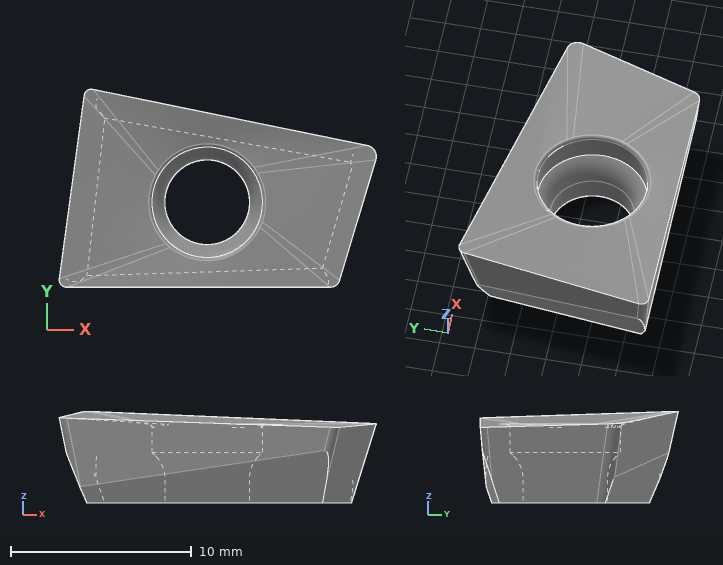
import cadquery as cq
import math


FRONT_Y = -4.71
FRONT_LEFT = (-8.26, FRONT_Y)
FRONT_RIGHT = (7.22, FRONT_Y)
BACK_RIGHT = (9.54, 3.01)
BACK_LEFT = (-6.76, 6.345)
LEFT_NOSE_RADIUS = 0.43
FRONT_RIGHT_NOSE_RADIUS = 0.55
BACK_RIGHT_NOSE_RADIUS = 0.65

EDGE_HEIGHT = 4.62
EDGE_SLOPE_X = -0.0347
EDGE_SLOPE_Y = 0.038

FRONT_CLEARANCE = 5.0
RIGHT_CLEARANCE = 14.7
BACK_CLEARANCE = 11.0
LEFT_CLEARANCE = 10.5

FRONT_RELIEF = ((-6.66, -4.07, 0), (6.37, -3.65, 0), (6.54, -4.60, 2.93))
BACK_RELIEF = ((8.06, 2.19, 0), (-5.60, 4.65, 0), (-6.00, 5.77, 2.88))
LEFT_RELIEF = ((-6.66, -4.07, 0), (-7.88, -4.12, 3.02), (-6.30, 5.13, 1.71))

BORE_RADIUS = 2.34
HEAD_RADIUS = 3.06
RIM_RADIUS = 3.24
RIM_HEIGHT = 4.37
SEAT_TOP = 2.80
SEAT_BOTTOM = 1.35

FRONT_LEFT_CREASES = (225.0, 230.6)
FRONT_RIGHT_CREASES = (334.8, 340.3)
BACK_RIGHT_CREASES = (390.0, 396.6)
BACK_LEFT_CREASES = (506.9, 512.3)
FULL_TURN = 360.0

BLANK_HEIGHT = 7.0
CUT_SIZE = 60.0


def edge_point(corner):
    """Lift a plan corner onto the tilted plane of the cutting edges."""
    x, y = corner
    return cq.Vector(x, y, EDGE_HEIGHT + EDGE_SLOPE_X * x + EDGE_SLOPE_Y * y)


def half_space(point, outward):
    """A large block whose flat face passes through point, lying on the outward side."""
    plane = cq.Plane(origin=point, normal=outward)
    return cq.Workplane(plane).rect(CUT_SIZE, CUT_SIZE).extrude(CUT_SIZE)


def flank_cut(start, end, clearance):
    """Material outside the upper flank below one cutting edge (corners counterclockwise)."""
    first = edge_point(start)
    along = edge_point(end) - first
    inward = cq.Vector(-along.y, along.x, 0).normalized()
    down_flank = inward * math.tan(math.radians(clearance)) - cq.Vector(0, 0, 1)
    return half_space(first, down_flank.cross(along))


def relief_cut(points):
    """Material outside the lower flank through three points."""
    first, second, third = [cq.Vector(*point) for point in points]
    normal = (second - first).cross(third - first)
    if normal.dot(first) < 0:
        normal = normal * -1
    return half_space(first, normal)


def round_noses(body):
    """Round the four upright corners, each with its own radius."""
    noses = (
        (FRONT_LEFT, LEFT_NOSE_RADIUS),
        (FRONT_RIGHT, FRONT_RIGHT_NOSE_RADIUS),
        (BACK_RIGHT, BACK_RIGHT_NOSE_RADIUS),
        (BACK_LEFT, LEFT_NOSE_RADIUS),
    )
    for corner, radius in noses:
        nearest = cq.selectors.NearestToPointSelector(edge_point(corner).toTuple())
        body = body.edges("not(#Z)").edges(nearest).fillet(radius)
    return body


def make_body():
    body = cq.Workplane().rect(CUT_SIZE, CUT_SIZE).extrude(BLANK_HEIGHT)
    flanks = (
        (FRONT_LEFT, FRONT_RIGHT, FRONT_CLEARANCE),
        (FRONT_RIGHT, BACK_RIGHT, RIGHT_CLEARANCE),
        (BACK_RIGHT, BACK_LEFT, BACK_CLEARANCE),
        (BACK_LEFT, FRONT_LEFT, LEFT_CLEARANCE),
    )
    for start, end, clearance in flanks:
        body = body.cut(flank_cut(start, end, clearance))
    body = round_noses(body)
    for points in (FRONT_RELIEF, BACK_RELIEF, LEFT_RELIEF):
        body = body.cut(relief_cut(points))
    edge_normal = cq.Vector(-EDGE_SLOPE_X, -EDGE_SLOPE_Y, 1)
    return body.cut(half_space((0, 0, EDGE_HEIGHT), edge_normal))


def rim_point(angle):
    turn = math.radians(angle)
    return cq.Vector(RIM_RADIUS * math.cos(turn), RIM_RADIUS * math.sin(turn), RIM_HEIGHT)


def rim_arc(start, end):
    return cq.Edge.makeThreePointArc(rim_point(start), rim_point((start + end) / 2), rim_point(end))


def cut_rake_faces(body):
    """Dish the top with ruled faces that fall from the cutting edges to the hole rim."""
    creases = FRONT_LEFT_CREASES + FRONT_RIGHT_CREASES + BACK_RIGHT_CREASES + BACK_LEFT_CREASES
    ends = creases[1:] + (creases[0] + FULL_TURN,)
    rim = cq.Wire.assembleEdges([rim_arc(start, end) for start, end in zip(creases, ends)])
    cutting_edges = body.faces(">Z").val().outerWire()
    return body.cut(cq.Workplane(cq.Solid.makeLoft([cutting_edges, rim], True)))


def cut_screw_hole(body):
    """Bore, bell-shaped screw seat, head recess and rounded rim, turned about the Z axis."""
    bell_height = SEAT_TOP - SEAT_BOTTOM
    bell_width = HEAD_RADIUS - BORE_RADIUS
    bell_radius = (bell_width**2 + bell_height**2) / (2 * bell_width)
    half_sweep = math.asin(bell_height / bell_radius) / 2
    bell_middle = (
        BORE_RADIUS + bell_radius * (1 - math.cos(half_sweep)),
        SEAT_BOTTOM + bell_radius * math.sin(half_sweep),
    )
    rim_round = RIM_RADIUS - HEAD_RADIUS
    rim_middle = (
        RIM_RADIUS - rim_round * math.sin(math.pi / 4),
        RIM_HEIGHT - rim_round * (1 - math.cos(math.pi / 4)),
    )
    profile = (
        cq.Workplane("XZ")
        .lineTo(BORE_RADIUS, 0)
        .lineTo(BORE_RADIUS, SEAT_BOTTOM)
        .threePointArc(bell_middle, (HEAD_RADIUS, SEAT_TOP))
        .lineTo(HEAD_RADIUS, RIM_HEIGHT - rim_round)
        .threePointArc(rim_middle, (RIM_RADIUS, RIM_HEIGHT))
        .lineTo(0, RIM_HEIGHT)
        .close()
    )
    return body.cut(profile.revolve(FULL_TURN, (0, 0, 0), (0, 1, 0)))


result = cut_screw_hole(cut_rake_faces(make_body()))